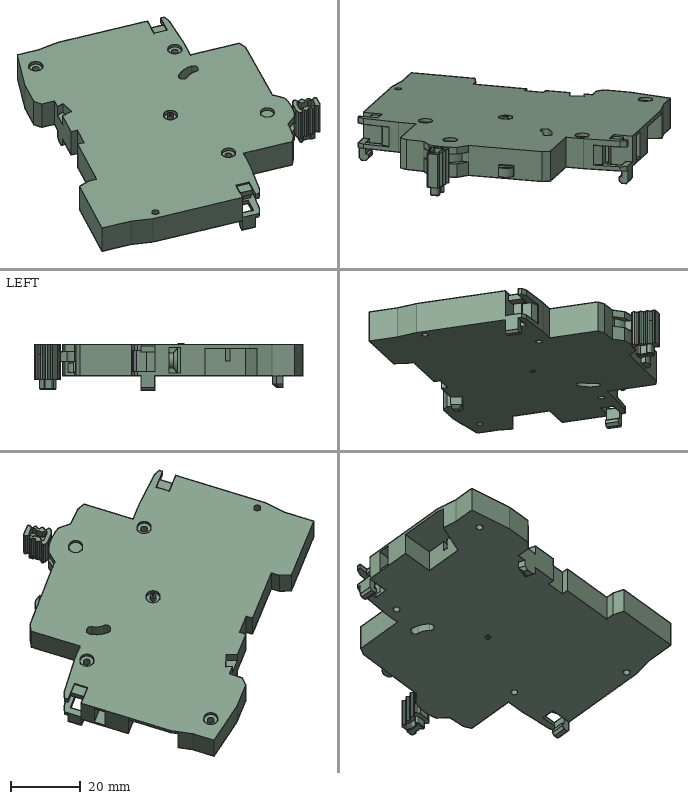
import cadquery as cq

HALF_LENGTH = 40.5
THICKNESS = 9.0
STEP_HALF = 22.6
SHOULDER_Y = 49.2
FRONT_Y = 65.5
FOOT_HALF = 39.4
RAIL_Y = 5.7

PIVOT_X, PIVOT_Y = 8.35, 61.6
DOME_HALF = 6.7
DOME_SHOULDER_HALF = 4.2
DOME_SHOULDER_Y = 68.4
DOME_TOP_Y = 69.0

RING_RADIUS = 2.0
RING_DEPTH = 1.0
HOLE_RADIUS = 1.0
RING_CENTRES = [(-26.4, 45.8), (21.0, 45.2), (-32.9, 5.7)]
CORNER_HOLE = (38.1, 16.8)

SLOT_START, SLOT_MIDDLE, SLOT_END = (-16.6, 47.95), (-15.95, 45.85), (-14.7, 44.1)
SLOT_WIDTH = 2.6

CLIP_Y_LOW, CLIP_Y_HIGH = 42.5, 46.5
CLIP_WIDTH, CLIP_REACH, CLIP_DROP = 1.95, 2.75, 4.2
CORNER_FLOOR, CORNER_CEILING = 1.3, 7.2
CORNER_STEP_Y, CORNER_RAMP_Y, CORNER_RAMP_END_Y = 44.95, 47.7, 48.6
CORNER_DEPTH, CORNER_STEP_DEPTH, CORNER_RAMP_DEPTH = 6.5, 7.3, 9.7
NOTCH_OPEN, NOTCH_LENGTH, NOTCH_DEPTH = 2.6, 5.6, 0.5
BRIDGE_BOTTOM = 6.8

LUG_OUTLINE = [(-15.1, 7.5), (-11.1, 8.75), (-10.1, RAIL_Y), (-14.3, RAIL_Y)]
LUG_HEIGHT = 3.3
LUG_CHAMFER = 1.0

RECESS_Y_LOW, RECESS_FLOOR_Y, RECESS_Y_HIGH = 13.0, 16.5, 28.1
RECESS_DEPTH, RECESS_TOP = 9.7, 7.8
NICK_Y_LOW, NICK_Y_HIGH, NICK_DEPTH, NICK_BOTTOM = 20.9, 22.3, 2.4, 4.2

TERMINAL_Y_LOW, TERMINAL_Y_HIGH = 35.15, 38.5
TERMINAL_Z_LOW, TERMINAL_Z_HIGH, TERMINAL_DEPTH = 0.7, 8.2, 12.15
SCREW_X, SCREW_Z = -32.0, 4.4
SCREW_HEAD_Y, SCREW_CONE_Y, SCREW_END_Y = 36.05, 37.2, 40.5
SCREW_HEAD_RADIUS, SCREW_SHANK_RADIUS = 3.6, 2.2

RIVET_Y, RIVET_RADIUS, RIVET_BORE_RADIUS, RIVET_RISE = 35.0, 0.8, 0.3, 0.3
RIVET_RING_DEPTH = 1.2

LEVER_Z_LOW, LEVER_Z_HIGH = 4.05, 7.0
DRUM_RADIUS, NECK_WIDTH = 6.2, 2.9
GRIP_X, GRIP_BOTTOM_Y, GRIP_TOP_Y, GRIP_Z_LOW = 8.75, 69.7, 77.0, -1.05
RIB_COUNT, RIB_PITCH = 4, 1.95
RIB_START_Y = 70.0
RIB_HALF, RIB_TAPER, GROOVE_DEPTH = 2.8, 0.3, 0.4
GRIP_TOP_HALF = 1.45
PEG_Y_LOW, PEG_Y_HIGH = 70.9, 75.65
PEG_HALF_LOW, PEG_HALF_HIGH, PEG_LENGTH = 1.7, 1.2, 2.8
PEG_FILLET, PEG_CHAMFER = 0.5, 0.25
WAIST_Y, WAIST_HALF = 73.1, 1.0
WAIST_FLAT_HALF, WAIST_RAMP = 1.0, 0.6

BUTTON_LEFT, BUTTON_RIGHT, BUTTON_SEAT = -12.0, -7.8, 0.8
BUTTON_Z_LOW, BUTTON_Z_HIGH, BUTTON_STEP_Z = 1.0, 4.1, 3.65
BUTTON_LEFT_Y, BUTTON_RIGHT_Y = 65.85, 66.8
BUTTON_CROWN = (-9.6, 67.4)

MARGIN = 4.05


def prism(points, z_low, z_high):
    """Straight-sided block standing between two levels."""
    return cq.Workplane("XY").workplane(offset=z_low).polyline(points).close().extrude(z_high - z_low)


def block(x_low, x_high, y_low, y_high, z_low, z_high):
    return cq.Workplane("XY").box(
        x_high - x_low, y_high - y_low, z_high - z_low, centered=False
    ).translate((x_low, y_low, z_low))


def cylinder(x, y, radius, z_low, z_high):
    return cq.Workplane("XY").workplane(offset=z_low).center(x, y).circle(radius).extrude(z_high - z_low)


def mirrored(shape):
    return shape.mirror("YZ")


def housing_plate():
    shoulder = [(27.9, SHOULDER_Y), (38.6, 48.35), (HALF_LENGTH, 47.55), (HALF_LENGTH, 15.15), (FOOT_HALF, 8.8)]
    raised = [(20.4, 65.2), (STEP_HALF, 64.1), (STEP_HALF, SHOULDER_Y)]
    right_side = raised + shoulder
    left_side = [(-x, y) for x, y in reversed(right_side)]
    feet = [
        (FOOT_HALF, 0), (20.2, 0), (18.95, 3.2), (18.95, RAIL_Y),
        (2.8, RAIL_Y), (2.8, 7.6), (-2.8, 7.6), (-2.8, RAIL_Y),
        (-16.9, RAIL_Y), (-16.9, 1.8), (-18.8, 0), (-26.4, 0), (-FOOT_HALF, 2.35),
    ]
    outline = cq.Workplane("XY").moveTo(PIVOT_X - DOME_HALF, FRONT_Y)
    outline = outline.lineTo(PIVOT_X - DOME_SHOULDER_HALF, DOME_SHOULDER_Y)
    outline = outline.threePointArc((PIVOT_X, DOME_TOP_Y), (PIVOT_X + DOME_SHOULDER_HALF, DOME_SHOULDER_Y))
    outline = outline.lineTo(PIVOT_X + DOME_HALF, FRONT_Y)
    for x, y in right_side + feet + left_side:
        outline = outline.lineTo(x, y)
    return outline.close().extrude(THICKNESS)


def ring_cuts():
    """Counterbored holes, the plain corner hole, the pivot recess and the rivet seat."""
    ring_floor = THICKNESS - RING_DEPTH
    cuts = cylinder(*CORNER_HOLE, HOLE_RADIUS, 0, THICKNESS)
    for x, y in RING_CENTRES:
        cuts = cuts.union(cylinder(x, y, HOLE_RADIUS, 0, THICKNESS))
        cuts = cuts.union(cylinder(x, y, RING_RADIUS, ring_floor, THICKNESS))
    cuts = cuts.union(cylinder(PIVOT_X, PIVOT_Y, RING_RADIUS, ring_floor, THICKNESS))
    cuts = cuts.union(cylinder(0, RIVET_Y, RING_RADIUS, THICKNESS - RIVET_RING_DEPTH, THICKNESS))
    return cuts.union(cylinder(0, RIVET_Y, RIVET_RADIUS, 0, THICKNESS))


def curved_slot():
    centre_line = cq.Workplane("XY").moveTo(*SLOT_START).threePointArc(SLOT_MIDDLE, SLOT_END)
    return centre_line.offset2D(SLOT_WIDTH / 2).extrude(THICKNESS)


def corner_cut():
    """Pocket through the left corner, the stepped notch above it and the slot in its floor."""
    edge = -HALF_LENGTH
    y_end = SHOULDER_Y + MARGIN
    notch_end = edge + NOTCH_LENGTH
    notch_floor = THICKNESS - NOTCH_DEPTH
    back, step, ramp = (edge + depth for depth in (CORNER_DEPTH, CORNER_STEP_DEPTH, CORNER_RAMP_DEPTH))
    pocket = prism(
        [
            (edge, CLIP_Y_LOW), (back, CLIP_Y_LOW), (back, CORNER_STEP_Y), (step, CORNER_STEP_Y),
            (step, CORNER_RAMP_Y), (ramp, CORNER_RAMP_END_Y), (ramp, y_end), (edge, y_end),
        ],
        CORNER_FLOOR, CORNER_CEILING,
    )
    bridge = block(edge + NOTCH_OPEN, notch_end, CLIP_Y_LOW, CLIP_Y_HIGH, BRIDGE_BOTTOM, notch_floor)
    opening = block(edge, edge + NOTCH_OPEN, CLIP_Y_LOW, CLIP_Y_HIGH, CORNER_FLOOR, THICKNESS)
    shallow = block(edge, notch_end, CLIP_Y_LOW, CLIP_Y_HIGH, notch_floor, THICKNESS)
    floor_slot = block(edge + CLIP_WIDTH, back, CLIP_Y_LOW, CLIP_Y_HIGH, 0, CORNER_FLOOR)
    return pocket.cut(bridge).union(opening).union(shallow).union(floor_slot)


def clip():
    """Left snap-on hook, hanging below the housing."""
    nose_top, nose_high, nose_low, tip = -2.1, -2.35, -3.4, -CLIP_DROP
    heel = 0.65
    profile = [
        (0, CORNER_FLOOR), (CLIP_WIDTH, CORNER_FLOOR), (CLIP_WIDTH, nose_top), (CLIP_REACH, nose_high),
        (CLIP_REACH, nose_low), (CLIP_WIDTH, tip), (heel, tip), (0, nose_low),
    ]
    points = [(x - HALF_LENGTH, z) for x, z in profile]
    hook = cq.Workplane("XZ").polyline(points).close().extrude(CLIP_Y_LOW - CLIP_Y_HIGH)
    return hook.translate((0, CLIP_Y_LOW, 0))


def coupling_lug():
    lug = prism(LUG_OUTLINE, -LUG_HEIGHT, 0)
    return lug.faces("<Z").edges("not <Y").chamfer(LUG_CHAMFER)


def wiring_recess():
    edge = -HALF_LENGTH
    back = edge + RECESS_DEPTH
    recess = prism(
        [(edge, RECESS_Y_LOW), (back, RECESS_FLOOR_Y), (back, RECESS_Y_HIGH), (edge, RECESS_Y_HIGH)],
        0, RECESS_TOP,
    )
    nick = prism(
        [(back, NICK_Y_LOW), (back + NICK_DEPTH, NICK_Y_HIGH), (back, NICK_Y_HIGH)],
        NICK_BOTTOM, RECESS_TOP,
    )
    return recess.union(nick)


def terminal_pocket():
    return block(
        -HALF_LENGTH, -HALF_LENGTH + TERMINAL_DEPTH, TERMINAL_Y_LOW, TERMINAL_Y_HIGH,
        TERMINAL_Z_LOW, TERMINAL_Z_HIGH,
    )


def lever_opening():
    """Window in the dome through which the lever swings."""
    return block(
        PIVOT_X - DOME_HALF, PIVOT_X + DOME_HALF, FRONT_Y, DOME_TOP_Y + MARGIN, LEVER_Z_LOW, LEVER_Z_HIGH
    )


def make_housing(fitted_bodies):
    housing = housing_plate().cut(ring_cuts()).cut(curved_slot())
    housing = housing.cut(prism(LUG_OUTLINE, THICKNESS - LUG_HEIGHT, THICKNESS)).union(coupling_lug())
    housing = housing.cut(corner_cut()).cut(mirrored(corner_cut()))
    housing = housing.union(clip()).union(mirrored(clip()))
    housing = housing.cut(wiring_recess()).cut(terminal_pocket()).cut(lever_opening())
    for body in fitted_bodies:
        housing = housing.cut(body)
    return housing


def make_lever():
    drum = cylinder(PIVOT_X, PIVOT_Y, DRUM_RADIUS, LEVER_Z_LOW, LEVER_Z_HIGH)
    neck_left = GRIP_X - NECK_WIDTH / 2
    neck = block(neck_left, neck_left + NECK_WIDTH, PIVOT_Y, GRIP_BOTTOM_Y, LEVER_Z_LOW, LEVER_Z_HIGH)
    return drum.union(neck)


def grip_outline():
    right = [(NECK_WIDTH / 2, GRIP_BOTTOM_Y)]
    flank = RIB_PITCH / 4
    for rib in range(RIB_COUNT):
        half = RIB_HALF - rib * RIB_TAPER
        low = RIB_START_Y + rib * RIB_PITCH
        groove_half = half - GROOVE_DEPTH
        right += [(groove_half, low), (half, low + flank), (half, low + 2 * flank)]
        if rib < RIB_COUNT - 1:
            right.append((groove_half - RIB_TAPER, low + 3 * flank))
    right.append((GRIP_TOP_HALF, GRIP_TOP_Y))
    left = [(-x, y) for x, y in reversed(right)]
    return [(GRIP_X + x, y) for x, y in right + left]


def peg_shape(z_low, z_high):
    points = [
        (GRIP_X - PEG_HALF_LOW, PEG_Y_LOW), (GRIP_X + PEG_HALF_LOW, PEG_Y_LOW),
        (GRIP_X + PEG_HALF_HIGH, PEG_Y_HIGH), (GRIP_X - PEG_HALF_HIGH, PEG_Y_HIGH),
    ]
    peg = prism(points, z_low, z_high).edges("|Z").fillet(PEG_FILLET)
    waist_end = WAIST_FLAT_HALF + WAIST_RAMP
    for side in (-1, 1):
        inner = GRIP_X + side * WAIST_HALF
        outer = GRIP_X + side * PEG_HALF_LOW
        hollow = [
            (outer, WAIST_Y - waist_end), (inner, WAIST_Y - WAIST_FLAT_HALF),
            (inner, WAIST_Y + WAIST_FLAT_HALF), (outer, WAIST_Y + waist_end),
        ]
        peg = peg.cut(prism(hollow, z_low, z_high))
    return peg


def make_grip():
    """Ribbed body with a coupling peg below and a matching socket above."""
    peg_tip = GRIP_Z_LOW - PEG_LENGTH
    peg = peg_shape(peg_tip, GRIP_Z_LOW).faces("<Z").chamfer(PEG_CHAMFER)
    socket = peg_shape(THICKNESS - PEG_LENGTH, THICKNESS)
    return prism(grip_outline(), GRIP_Z_LOW, THICKNESS).union(peg).cut(socket)


def make_button():
    seat_y = FRONT_Y - BUTTON_SEAT
    base = prism(
        [
            (BUTTON_LEFT, seat_y), (BUTTON_RIGHT, seat_y),
            (BUTTON_RIGHT, BUTTON_RIGHT_Y), (BUTTON_LEFT, BUTTON_LEFT_Y),
        ],
        BUTTON_Z_LOW, BUTTON_Z_HIGH,
    )
    crown = cq.Workplane("XY").workplane(offset=BUTTON_Z_LOW).moveTo(BUTTON_LEFT, BUTTON_LEFT_Y)
    crown = crown.threePointArc(BUTTON_CROWN, (BUTTON_RIGHT, BUTTON_RIGHT_Y)).close()
    return base.union(crown.extrude(BUTTON_STEP_Z - BUTTON_Z_LOW))


def make_rivet():
    rivet = cylinder(0, RIVET_Y, RIVET_RADIUS, 0, THICKNESS + RIVET_RISE)
    return rivet.cut(cylinder(0, RIVET_Y, RIVET_BORE_RADIUS, 0, THICKNESS + RIVET_RISE))


def make_terminal_screw():
    half_profile = [
        (0, SCREW_HEAD_Y), (SCREW_HEAD_RADIUS, SCREW_HEAD_Y), (SCREW_SHANK_RADIUS, SCREW_CONE_Y),
        (SCREW_SHANK_RADIUS, SCREW_END_Y), (0, SCREW_END_Y),
    ]
    screw = cq.Workplane("XY").polyline(half_profile).close().revolve(360, (0, 0, 0), (0, 1, 0))
    return screw.translate((SCREW_X, 0, SCREW_Z))


lever = make_lever()
grip = make_grip()
button = make_button()
rivet = make_rivet()
terminal_screw = make_terminal_screw()
housing = make_housing([lever, button, terminal_screw])

result = cq.Compound.makeCompound(
    [housing.val(), lever.val(), grip.val(), button.val(), rivet.val(), terminal_screw.val()]
)